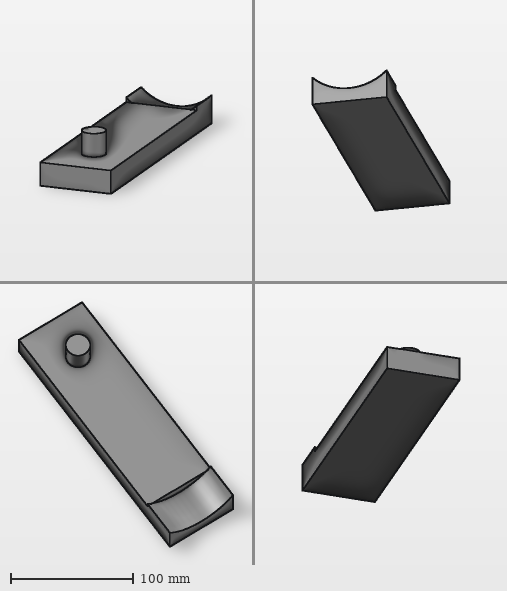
import cadquery as cq
import math

length = 220.0
width = 62.5
plate_height = 20.0
cradle_length = 32.5
cradle_rise = 4.0
cradle_radius = 45.0
pin_diameter = 20.0
pin_height = 20.0
pin_end_distance = 40.0

front_y = -length / 2
back_y = length / 2
crest_z = plate_height + cradle_rise
pin_y = front_y + pin_end_distance
cradle_axis_z = crest_z + math.sqrt(cradle_radius**2 - (width / 2) ** 2)


def make_base():
    """Flat plate whose back end is a raised block with a cylindrical trough along Y."""
    plate = cq.Workplane("XY").box(width, length, plate_height, centered=(True, True, False))
    block = (
        cq.Workplane("XY")
        .center(0, back_y - cradle_length / 2)
        .box(width, cradle_length, crest_z, centered=(True, True, False))
    )
    trough = (
        cq.Workplane("XZ", origin=(0, back_y, cradle_axis_z))
        .circle(cradle_radius)
        .extrude(cradle_length)
    )
    return plate.union(block).cut(trough).solids()


def make_pin():
    """Upright round pin standing on the plate near its front end."""
    return (
        cq.Workplane("XY", origin=(0, pin_y, plate_height))
        .circle(pin_diameter / 2)
        .extrude(pin_height)
    )


base = make_base()
pin = make_pin()
result = cq.Compound.makeCompound([base.val(), pin.val()])